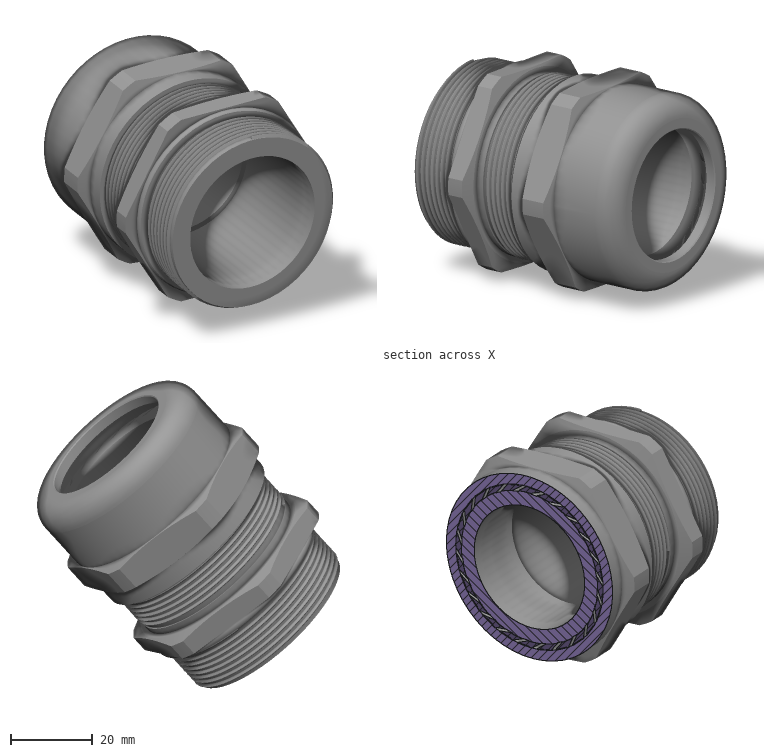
import cadquery as cq
import math


ACROSS_FLATS = 50.0
CAP_HEX_TWIST = -1.8
HEX_CHAMFER_LENGTH = 1.05

CAP_DIA = 49.6
CAP_LENGTH = 30.95
DOME_RADIUS = 5.5
THREAD_BORE_DIA = 46.95
CAP_HEX_START = 17.8
CAP_HEX_END = 26.3
CAP_HEX_CORNER_DIA = 55.6
CAP_HEX_FACE_DIA = 49.6
LIP_BORE_DIA = 33.1
LIP_CHAMFER = 0.25
LIP_THICKNESS = 2.6

THREAD_CREST_DIA = 46.75
THREAD_ROOT_DIA = 45.4
THREAD_PITCH = 1.5
RIDGE_BASE = 1.05
RIDGE_CREST = 0.1
RIDGE_SINK = 0.1
CAP_THREAD_TURNS = 8
ENTRY_THREAD_TURNS = 7.5
CAP_THREAD_END = 40.5
ENTRY_THREAD_END = 61.95
CAP_THREAD_END_ANGLE = 180
ENTRY_THREAD_END_ANGLE = 90

BODY_START = 25.0
BODY_END = 62.5
NECK_START = 41.15
NECK_DIA = 46.25
BODY_HEX_START = 42.95
BODY_HEX_END = 48.3
BODY_HEX_CORNER_DIA = 55.4
BODY_HEX_FACE_DIA = 49.0
SEAL_SEAT_END = 30.0
BODY_BORE_DIA = 35.4

INSERT_START = 7.05
SEAL_BORE_DIA = 32.7
CLAW_BORE_DIA = 40.4
CLAW_DIA = 43.7
SLOT_COUNT = 24
SLOT_START_ANGLE = 7.5
SLOT_WIDTH = 0.6
SLOT_LENGTH = 7.5
SLOT_TILT = 60
SLOT_CUT = 6.25

GASKET_DIA = 49.6
GASKET_THICKNESS = 1.8
GASKET_BULGE = 0.4


def cylinder(diameter, start, end):
    """Solid cylinder on the X axis between two X positions."""
    return cq.Workplane("YZ", origin=(start, 0, 0)).circle(diameter / 2).extrude(end - start)


def chamfered_hexagon(start, end, corner_dia, face_dia, chamfer_back):
    """Hexagon with corners at +Y and -Y, its corners turned down and its ends chamfered by a cone."""
    circumscribed_dia = ACROSS_FLATS / math.cos(math.pi / 6)
    prism = cq.Workplane("YZ", origin=(start, 0, 0)).polygon(6, circumscribed_dia).extrude(end - start)
    face_radius = face_dia / 2
    corner_radius = corner_dia / 2
    profile = (
        cq.Workplane("XY")
        .moveTo(start, 0)
        .lineTo(start, face_radius)
        .lineTo(start + HEX_CHAMFER_LENGTH, corner_radius)
    )
    if chamfer_back:
        profile = profile.lineTo(end - HEX_CHAMFER_LENGTH, corner_radius).lineTo(end, face_radius)
    else:
        profile = profile.lineTo(end, corner_radius)
    envelope = profile.lineTo(end, 0).close().revolve(360, (0, 0, 0), (1, 0, 0))
    return prism.intersect(envelope)


def thread_ridge(end, turns, end_angle):
    """Right-handed ridge that ends at X = end, at end_angle measured from +Y towards +Z."""
    foot_radius = THREAD_ROOT_DIA / 2 - RIDGE_SINK
    crest_radius = THREAD_CREST_DIA / 2
    length = turns * THREAD_PITCH
    path = cq.Wire.makeHelix(THREAD_PITCH, length, foot_radius)
    ridge = (
        cq.Workplane("XZ")
        .polyline([
            (foot_radius, -RIDGE_BASE / 2),
            (crest_radius, -RIDGE_CREST / 2),
            (crest_radius, RIDGE_CREST / 2),
            (foot_radius, RIDGE_BASE / 2),
        ])
        .close()
        .sweep(cq.Workplane(path), isFrenet=True)
    )
    start_angle = end_angle - 360 * turns
    along_x = cq.Location(cq.Plane(origin=(end - length, 0, 0), xDir=(0, 1, 0), normal=(1, 0, 0)))
    return cq.Workplane(ridge.val().rotate(cq.Vector(), cq.Vector(0, 0, 1), start_angle).moved(along_x))


def make_cap():
    dome = cylinder(CAP_DIA, 0, CAP_LENGTH).faces("<X").edges().fillet(DOME_RADIUS)
    hexagon = chamfered_hexagon(
        CAP_HEX_START, CAP_HEX_END, CAP_HEX_CORNER_DIA, CAP_HEX_FACE_DIA, chamfer_back=True
    )
    hexagon = hexagon.rotate((0, 0, 0), (1, 0, 0), CAP_HEX_TWIST)
    cap = dome.union(hexagon).cut(cylinder(LIP_BORE_DIA, 0, CAP_LENGTH))
    cap = cap.faces("<X").edges(cq.selectors.RadiusNthSelector(0)).chamfer(LIP_CHAMFER)
    cap = cap.cut(cylinder(CLAW_DIA, LIP_THICKNESS, BODY_START))
    return cap.cut(cylinder(THREAD_BORE_DIA, BODY_START, CAP_LENGTH))


def make_body():
    body = cylinder(THREAD_ROOT_DIA, BODY_START, BODY_END)
    body = body.union(cylinder(NECK_DIA, NECK_START, BODY_HEX_START))
    hexagon = chamfered_hexagon(
        BODY_HEX_START, BODY_HEX_END, BODY_HEX_CORNER_DIA, BODY_HEX_FACE_DIA, chamfer_back=False
    )
    body = body.union(hexagon)
    body = body.cut(cylinder(CLAW_BORE_DIA, BODY_START, SEAL_SEAT_END))
    body = body.cut(cylinder(BODY_BORE_DIA, SEAL_SEAT_END, BODY_END))
    body = body.union(thread_ridge(CAP_THREAD_END, CAP_THREAD_TURNS, CAP_THREAD_END_ANGLE))
    return body.union(thread_ridge(ENTRY_THREAD_END, ENTRY_THREAD_TURNS, ENTRY_THREAD_END_ANGLE))


def make_claw():
    claw = cylinder(CLAW_DIA, INSERT_START, BODY_START).cut(cylinder(CLAW_BORE_DIA, INSERT_START, BODY_START))
    slot = cq.Workplane("XY").box(SLOT_LENGTH, SLOT_CUT, SLOT_WIDTH, centered=(False, True, True))
    slot = slot.rotate((0, 0, 0), (1, 0, 0), SLOT_TILT)
    mid_wall_radius = (CLAW_BORE_DIA + CLAW_DIA) / 4
    slot = slot.translate((INSERT_START, mid_wall_radius, 0))
    slot_pitch = 360 / SLOT_COUNT
    for index in range(SLOT_COUNT):
        claw = claw.cut(slot.rotate((0, 0, 0), (1, 0, 0), SLOT_START_ANGLE + index * slot_pitch))
    return claw


def make_seal():
    seal = cylinder(CLAW_BORE_DIA, INSERT_START, SEAL_SEAT_END)
    return seal.cut(cylinder(SEAL_BORE_DIA, INSERT_START, SEAL_SEAT_END))


def make_gasket():
    gasket_end = BODY_HEX_END + GASKET_THICKNESS
    bore_radius = THREAD_ROOT_DIA / 2
    crest_radius = GASKET_DIA / 2
    edge_radius = crest_radius - GASKET_BULGE
    return (
        cq.Workplane("XY")
        .moveTo(BODY_HEX_END, bore_radius)
        .lineTo(BODY_HEX_END, edge_radius)
        .threePointArc((BODY_HEX_END + GASKET_THICKNESS / 2, crest_radius), (gasket_end, edge_radius))
        .lineTo(gasket_end, bore_radius)
        .close()
        .revolve(360, (0, 0, 0), (1, 0, 0))
    )


cap = make_cap().solids()
body = make_body().solids()
claw = make_claw().solids()
seal = make_seal().solids()
gasket = make_gasket().solids()

result = cq.Compound.makeCompound([cap.val(), body.val(), claw.val(), seal.val(), gasket.val()])